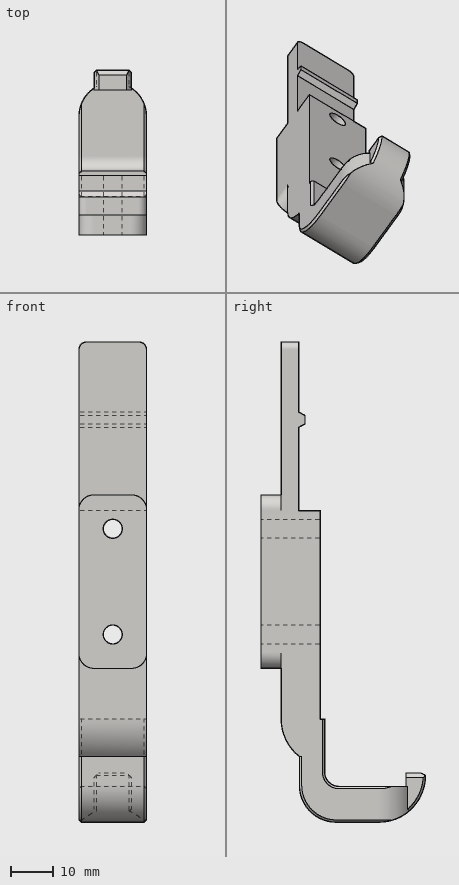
import cadquery as cq
import math

width = 16.0
depth = 39.0
height = 113.5

strap_front = 4.8
strap_back = 9.0
body_back = 14.1
hook_back = 15.1

strap_corner = 1.8
ridge_rise = 1.5
ridge_base = 3.6
ridge_tip = 2.0
ridge_z = 95.2

body_top = 73.7
body_arc_top = 24.4
body_arc_radius = 11.2
pad_height = 41.0
pad_z = 56.9
pad_corner = 3.5
hole_diameter = 4.4
hole_spacing = 25.0

neck_front = 9.1
floor_z = 8.5
inner_radius = 3.4
heel_radius = 8.7
toe_radius = 11.1
edge_chamfer = 0.6
round_start = 28.0

lip_width = 8.9
lip_front = 34.3
lip_top = 11.7
lip_side_chamfer = 1.1
lip_back_length = 1.1
lip_back_drop = lip_top - toe_radius

arc_setback = neck_front - strap_front
body_arc_end = body_arc_top - math.sqrt(body_arc_radius**2 - (body_arc_radius - arc_setback) ** 2)


def extrude_across(outline, extrude_width):
    """Extrude a YZ outline symmetrically about X = 0."""
    return outline.close().extrude(extrude_width / 2, both=True)


def make_strap():
    length = height - body_top
    strap = cq.Workplane("XY").box(width, strap_back - strap_front, length, centered=(True, False, False))
    strap = strap.edges("|Y and >Z").fillet(strap_corner)
    strap = strap.translate((0, strap_front, body_top))
    ridge = cq.Workplane("YZ").polyline([
        (strap_back, ridge_z - ridge_base / 2),
        (strap_back + ridge_rise, ridge_z - ridge_tip / 2),
        (strap_back + ridge_rise, ridge_z + ridge_tip / 2),
        (strap_back, ridge_z + ridge_base / 2),
    ])
    return strap.union(extrude_across(ridge, width))


def make_body():
    outline = (
        cq.Workplane("YZ")
        .moveTo(strap_front, body_top)
        .lineTo(strap_front, body_arc_top)
        .radiusArc((neck_front, body_arc_end), -body_arc_radius)
        .lineTo(body_back, body_arc_end)
        .lineTo(body_back, body_top)
    )
    return extrude_across(outline, width)


def make_pad():
    pad = cq.Workplane("XZ").rect(width, pad_height).extrude(-strap_front)
    return pad.edges("|Y").fillet(pad_corner).translate((0, 0, pad_z))


def make_shank():
    """Hook without its lip: chamfered side edges and a full-round end in plan."""
    toe_end = depth - toe_radius + math.sqrt(toe_radius**2 - (toe_radius - floor_z) ** 2)
    outline = (
        cq.Workplane("YZ")
        .moveTo(neck_front, body_arc_top)
        .lineTo(neck_front, heel_radius)
        .radiusArc((neck_front + heel_radius, 0), -heel_radius)
        .lineTo(depth - toe_radius, 0)
        .radiusArc((toe_end, floor_z), -toe_radius)
        .lineTo(hook_back + inner_radius, floor_z)
        .radiusArc((hook_back, floor_z + inner_radius), inner_radius)
        .lineTo(hook_back, body_arc_top)
    )
    shank = extrude_across(outline, width)
    shank = shank.faces("<X or >X").edges("not >Z").chamfer(edge_chamfer)
    plan = (
        cq.Workplane("XY")
        .moveTo(-width / 2, 0)
        .lineTo(width / 2, 0)
        .lineTo(width / 2, round_start)
        .threePointArc((0, round_start + width / 2), (-width / 2, round_start))
        .close()
        .extrude(body_arc_top)
    )
    return shank.intersect(plan)


def make_lip():
    """Narrow upturned lip that follows the toe arc."""
    outline = (
        cq.Workplane("YZ")
        .moveTo(depth - toe_radius, 0)
        .radiusArc((depth, lip_top - lip_back_drop), -toe_radius)
        .lineTo(depth - lip_back_length, lip_top)
        .lineTo(lip_front, lip_top)
        .lineTo(lip_front, floor_z)
        .lineTo(depth - toe_radius, floor_z)
    )
    lip = extrude_across(outline, lip_width)
    lip = lip.faces("<X or >X").edges("%CIRCLE").chamfer(edge_chamfer)
    envelope = cq.Workplane("XY").box(lip_width, depth, lip_top, centered=(True, False, False))
    envelope = envelope.edges("|Y and >Z").chamfer(lip_side_chamfer)
    return lip.intersect(envelope)


def make_holes():
    return (
        cq.Workplane("XZ", origin=(0, 0, pad_z))
        .pushPoints([(0, -hole_spacing / 2), (0, hole_spacing / 2)])
        .circle(hole_diameter / 2)
        .extrude(-body_back)
    )


result = make_body().union(make_strap()).union(make_pad()).union(make_shank()).union(make_lip())
result = result.cut(make_holes())